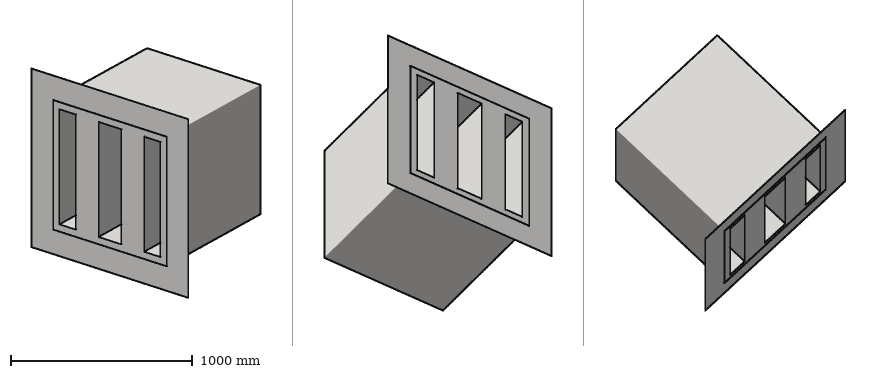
import cadquery as cq

flange_size = 1085.0
total_depth = 850.0
sheet = 1.0
casing_size = 788.0
corner_radius = 3.0
rim = 45.0
baffle_width = 157.0
center_slot_width = 158.0

slot_height = casing_size - 2 * rim
side_slot_width = (slot_height - 2 * baffle_width - center_slot_width) / 2
side_slot_offset = (slot_height - side_slot_width) / 2


def block(width, height, front, back, x=0):
    """Box centred on Z = 0 and running along Y from front to back."""
    return cq.Workplane("XY").box(width, back - front, height).translate((x, (front + back) / 2, 0))


body = block(casing_size, casing_size, sheet, total_depth).edges("|Y").fillet(corner_radius)

opening_size = casing_size - 2 * sheet
flange = block(flange_size, flange_size, 0, sheet)
flange = flange.cut(block(opening_size, opening_size, 0, sheet))

result = body.union(flange)

slots = (
    (-side_slot_offset, side_slot_width),
    (0, center_slot_width),
    (side_slot_offset, side_slot_width),
)
for x, width in slots:
    result = result.cut(block(width, slot_height, 0, total_depth, x))